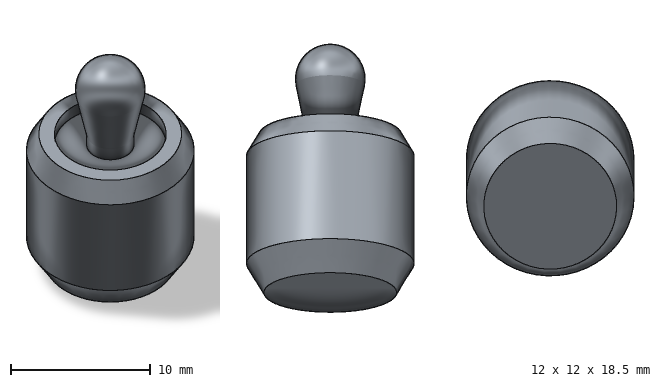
import cadquery as cq
import math

TOTAL_HEIGHT = 18.5

HOUSING_DIAMETER = 12.0
HOUSING_RADIUS = HOUSING_DIAMETER / 2
HOUSING_HEIGHT = 11.8
TOP_FACE_RADIUS = 5.1
BOTTOM_FACE_RADIUS = 4.75
BEVEL_ANGLE = 60.0
RECESS_RADIUS = 4.0
RECESS_DEPTH = 1.0

NECK_RADIUS = 1.7
BALL_RADIUS = 2.5

BEVEL_SLOPE = math.tan(math.radians(BEVEL_ANGLE))
BOTTOM_BEVEL_HEIGHT = (HOUSING_RADIUS - BOTTOM_FACE_RADIUS) * BEVEL_SLOPE
TOP_BEVEL_HEIGHT = (HOUSING_RADIUS - TOP_FACE_RADIUS) * BEVEL_SLOPE
RECESS_FLOOR_Z = HOUSING_HEIGHT - RECESS_DEPTH
BALL_CENTER_Z = TOTAL_HEIGHT - BALL_RADIUS


def revolve_about_z(profile):
    """Revolve a closed (radius, height) profile around the Z axis."""
    return profile.close().revolve(360, (0, 0, 0), (0, 1, 0))


def make_housing():
    profile = (
        cq.Workplane("XZ")
        .lineTo(BOTTOM_FACE_RADIUS, 0)
        .lineTo(HOUSING_RADIUS, BOTTOM_BEVEL_HEIGHT)
        .lineTo(HOUSING_RADIUS, HOUSING_HEIGHT - TOP_BEVEL_HEIGHT)
        .lineTo(TOP_FACE_RADIUS, HOUSING_HEIGHT)
        .lineTo(RECESS_RADIUS, HOUSING_HEIGHT)
        .lineTo(RECESS_RADIUS, RECESS_FLOOR_Z)
        .lineTo(0, RECESS_FLOOR_Z)
    )
    return revolve_about_z(profile)


def make_pin():
    cone_start_drop = BALL_CENTER_Z - HOUSING_HEIGHT
    cone_start_distance = math.hypot(NECK_RADIUS, cone_start_drop)
    cone_start_angle = math.atan2(NECK_RADIUS, cone_start_drop)
    tangent_angle = cone_start_angle + math.acos(BALL_RADIUS / cone_start_distance)
    tangent_radius = BALL_RADIUS * math.sin(tangent_angle)
    tangent_z = BALL_CENTER_Z - BALL_RADIUS * math.cos(tangent_angle)

    profile = (
        cq.Workplane("XZ")
        .moveTo(0, RECESS_FLOOR_Z)
        .lineTo(NECK_RADIUS, RECESS_FLOOR_Z)
        .lineTo(NECK_RADIUS, HOUSING_HEIGHT)
        .lineTo(tangent_radius, tangent_z)
        .threePointArc(
            (BALL_RADIUS * math.sqrt(0.5), BALL_CENTER_Z + BALL_RADIUS * math.sqrt(0.5)),
            (0, TOTAL_HEIGHT),
        )
    )
    return revolve_about_z(profile)


housing = make_housing()
pin = make_pin()

result = cq.Compound.makeCompound([housing.val(), pin.val()])